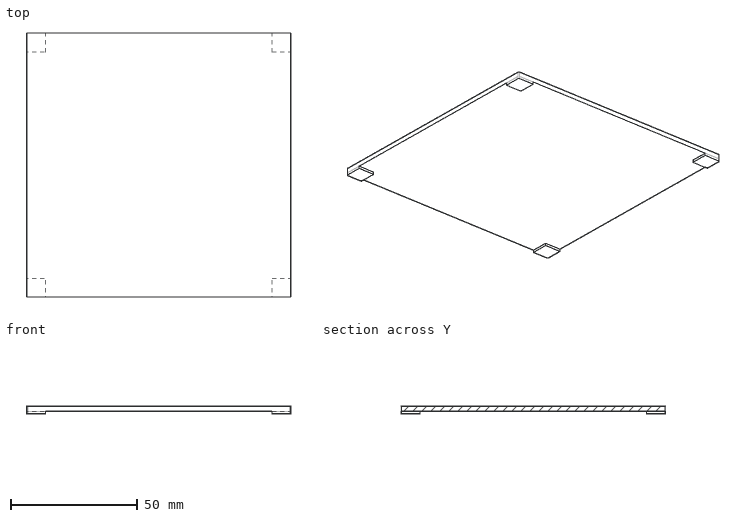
import cadquery as cq

side = 104.57
height = 3.0
corner_radius = 0.5

foot_side = 7.5
foot_height = 1.0
plate_thickness = height - foot_height


def make_plate():
    """Square plate with its underside at the top of the feet."""
    return (
        cq.Workplane("XY")
        .workplane(offset=foot_height)
        .rect(side, side)
        .extrude(plate_thickness)
    )


def make_feet():
    """Four square feet, each flush with a corner of the plate."""
    spacing = side - foot_side
    return (
        cq.Workplane("XY")
        .rarray(spacing, spacing, 2, 2)
        .rect(foot_side, foot_side)
        .extrude(foot_height)
    )


def round_outer_corners(body):
    """Round the four outer vertical edges through plate and feet."""
    envelope = (
        cq.Workplane("XY")
        .rect(side, side)
        .extrude(height)
        .edges("|Z")
        .fillet(corner_radius)
    )
    return body.intersect(envelope, clean=False)


result = round_outer_corners(make_plate().union(make_feet(), clean=False))